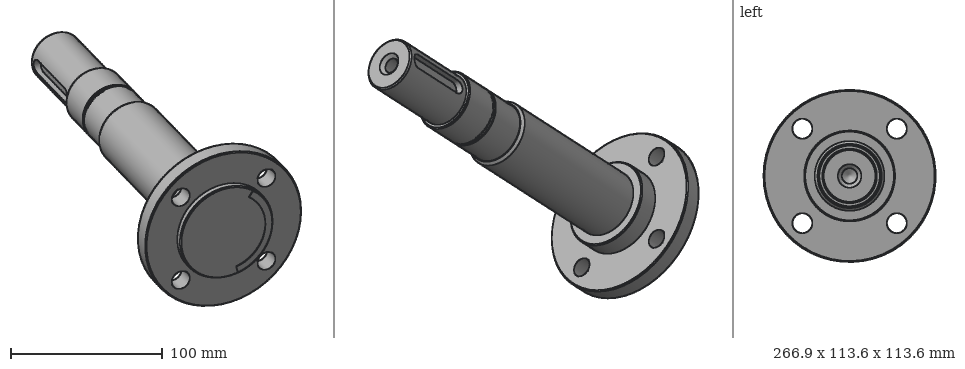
import cadquery as cq
import math

journal_diameter = 36.0
seat_diameter = 41.4
body_diameter = 46.0
collar_diameter = 60.0
flange_diameter = 113.6
spigot_diameter = 67.5

journal_end = 60.0
seat_end = 114.5
body_end = 234.0
collar_end = 248.5
flange_end = 261.5
overall_length = 266.87
raised_arc_height = 0.5
spigot_end = overall_length - raised_arc_height

edge_chamfer = 0.8
journal_chamfer = 1.0
body_lead_in_length = 2.2
body_lead_in_depth = 1.8

groove_start = 86.0
groove_width = 2.6
groove_depth = 0.8

keyway_start = 4.0
keyway_length = 52.0
keyway_width = 10.0
keyway_depth = 5.0

centre_hole_diameter = 10.2
centre_hole_mouth_diameter = 15.5
centre_hole_depth = 28.0
countersink_angle = 90.0
drill_point_angle = 118.0

bolt_hole_diameter = 13.0
bolt_circle_diameter = 88.0
bolt_hole_count = 4
bolt_hole_first_angle = 45.0

raised_arc_outer_radius = spigot_diameter / 2 - edge_chamfer
raised_arc_width = 5.0
raised_arc_start_angle = -76.0
raised_arc_end_angle = 55.0


def disc(start, end, diameter):
    """Cylinder on the X axis between two X positions."""
    return cq.Workplane("YZ", origin=(start, 0, 0)).circle(diameter / 2).extrude(end - start)


def revolved(profile):
    """Solid of revolution about X from (x, radius) points."""
    return cq.Workplane("XY").polyline(profile).close().revolve(360, (0, 0, 0), (1, 0, 0))


def shaft_blank():
    """All shaft steps with their chamfered edges."""
    journal = disc(0, journal_end, journal_diameter).faces("<X").chamfer(journal_chamfer)
    seat = disc(journal_end, seat_end, seat_diameter).faces("<X").chamfer(edge_chamfer)
    body_radius = body_diameter / 2
    body = revolved([
        (seat_end, 0),
        (seat_end, body_radius - body_lead_in_depth),
        (seat_end + body_lead_in_length, body_radius),
        (body_end, body_radius),
        (body_end, 0),
    ])
    collar = disc(body_end, collar_end, collar_diameter).faces("<X").chamfer(edge_chamfer)
    flange = disc(collar_end, flange_end, flange_diameter).faces("<X or >X").chamfer(edge_chamfer)
    spigot = disc(flange_end, spigot_end, spigot_diameter).faces(">X").chamfer(edge_chamfer)
    return journal.union(seat).union(body).union(collar).union(flange).union(spigot)


def ring_groove():
    """Ring of material removed for the retaining-ring groove."""
    groove_end = groove_start + groove_width
    outer = disc(groove_start, groove_end, seat_diameter)
    return outer.cut(disc(groove_start, groove_end, seat_diameter - 2 * groove_depth))


def keyway():
    """Round-ended slot cut into the journal from the -Y side."""
    keyway_floor = -(journal_diameter / 2 - keyway_depth)
    return (
        cq.Workplane("XZ", origin=(keyway_start + keyway_length / 2, keyway_floor, 0))
        .slot2D(keyway_length, keyway_width)
        .extrude(journal_diameter / 2)
    )


def centre_hole():
    """Countersunk blind hole with a conical drill point."""
    hole_radius = centre_hole_diameter / 2
    mouth_radius = centre_hole_mouth_diameter / 2
    countersink_depth = (mouth_radius - hole_radius) / math.tan(math.radians(countersink_angle / 2))
    point_depth = hole_radius / math.tan(math.radians(drill_point_angle / 2))
    return revolved([
        (0, 0),
        (0, mouth_radius),
        (countersink_depth, hole_radius),
        (centre_hole_depth, hole_radius),
        (centre_hole_depth + point_depth, 0),
    ])


def bolt_holes():
    """Through holes in the flange."""
    return (
        cq.Workplane("YZ", origin=(collar_end, 0, 0))
        .polarArray(bolt_circle_diameter / 2, bolt_hole_first_angle, 360, bolt_hole_count)
        .circle(bolt_hole_diameter / 2)
        .extrude(flange_end - collar_end)
    )


def raised_arc():
    """Arc-shaped pad standing proud of the spigot end face."""
    def arc_point(radius, angle):
        return (radius * math.cos(math.radians(angle)), radius * math.sin(math.radians(angle)))

    outer = raised_arc_outer_radius
    inner = outer - raised_arc_width
    start = raised_arc_start_angle
    end = raised_arc_end_angle
    middle = (start + end) / 2
    return (
        cq.Workplane("YZ", origin=(spigot_end, 0, 0))
        .moveTo(*arc_point(outer, start))
        .threePointArc(arc_point(outer, middle), arc_point(outer, end))
        .lineTo(*arc_point(inner, end))
        .threePointArc(arc_point(inner, middle), arc_point(inner, start))
        .close()
        .extrude(raised_arc_height)
    )


result = (
    shaft_blank()
    .cut(ring_groove())
    .cut(keyway())
    .cut(centre_hole())
    .cut(bolt_holes())
    .union(raised_arc())
)